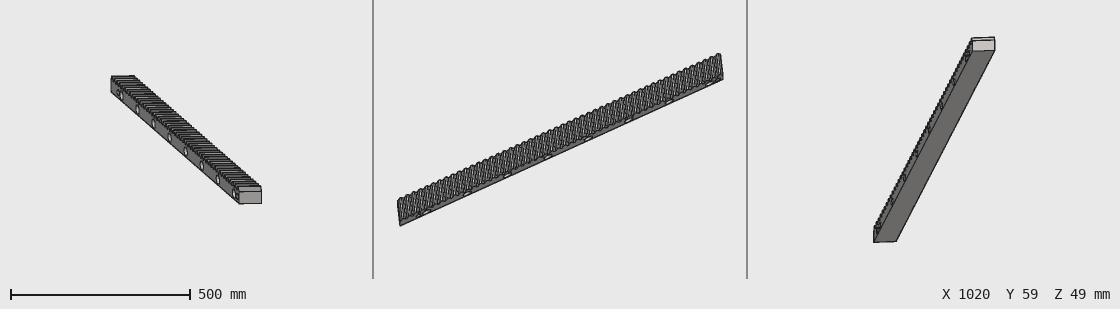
import cadquery as cq
import math

total_length = 1020.0
width = 59.0
height = 49.0

tooth_count = 50
helix_angle = math.radians(19.5)
pressure_angle = math.radians(20.0)
addendum_factor = 1.0
dedendum_factor = 1.25
end_trim = 0.5

helix_shift = width * math.tan(helix_angle)
face_length = total_length - helix_shift
pitch = (face_length + 2 * end_trim) / tooth_count
module = pitch * math.cos(helix_angle) / math.pi
addendum = addendum_factor * module
dedendum = dedendum_factor * module
flank_slope = math.tan(pressure_angle) / math.cos(helix_angle)
tip_half = pitch / 4 - addendum * flank_slope
root_half = pitch / 4 + dedendum * flank_slope
root_height = height - addendum - dedendum

bolt_count = 8
bolt_spacing = tooth_count * pitch / bolt_count
first_bolt = helix_shift + bolt_spacing / 2 - end_trim
hole_height = 16.0
bolt_diameter = 18.0
counterbore_diameter = 25.0
counterbore_depth = 16.0

pin_diameter = 16.0
pin_inset = 37.0


def rack_bar():
    """Tooth profile swept obliquely from the front face (Y = 0) to the back face."""
    points = [(0, 0), (0, root_height)]
    for tooth in range(tooth_count):
        center = (tooth + 0.5) * pitch - end_trim
        points += [
            (center - root_half, root_height),
            (center - tip_half, height),
            (center + tip_half, height),
            (center + root_half, root_height),
        ]
    points += [(face_length, root_height), (face_length, 0)]
    profile = cq.Wire.makePolygon([cq.Vector(x, 0, z) for x, z in points], close=True)
    sweep = cq.Vector(helix_shift, width, 0)
    return cq.Workplane(obj=cq.Solid.extrudeLinear(profile, [], sweep))


def front_cylinders(x_positions, diameter, depth):
    """Cylinders entering the front face and running toward +Y."""
    centers = [(x, hole_height) for x in x_positions]
    return cq.Workplane("XZ").pushPoints(centers).circle(diameter / 2).extrude(-depth)


bolt_positions = [first_bolt + i * bolt_spacing for i in range(bolt_count)]
pin_positions = [helix_shift + pin_inset, total_length - pin_inset]

result = (
    rack_bar()
    .cut(front_cylinders(bolt_positions, bolt_diameter, width))
    .cut(front_cylinders(bolt_positions, counterbore_diameter, counterbore_depth))
    .cut(front_cylinders(pin_positions, pin_diameter, width))
)